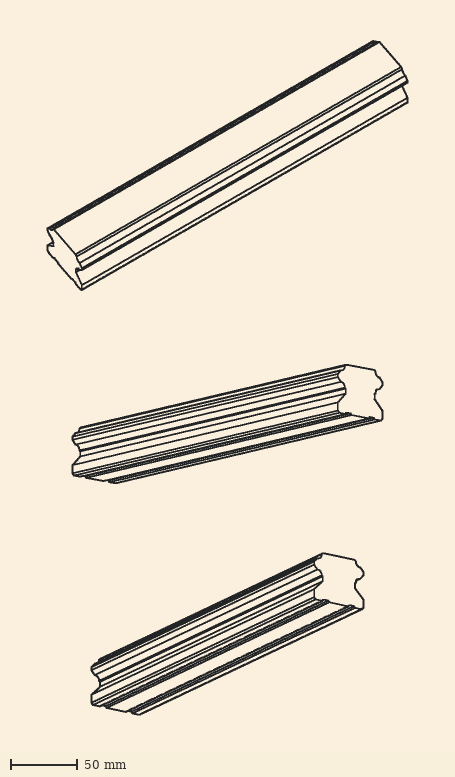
import cadquery as cq
import math

length = 300.0
width = 45.0
height = 38.0

nose_center_z = 28.5
nose_flat = 2.5
nose_root_half_width = 19.5
nose_root_height = 9.0
track_rise = 4.0
track_radius = 3.5
top_chamfer = 1.5

waist_half_width = 14.7
waist_top_z = 19.5
waist_bottom_z = 15.5
foot_side_top_z = 7.8
foot_chamfer = 1.5

groove_center_x = 11.7
groove_mouth_width = 6.0
groove_floor_width = 4.2
groove_depth = 1.2

half_width = width / 2
nose_tip_top_z = nose_center_z + nose_flat / 2
nose_tip_bottom_z = nose_center_z - nose_flat / 2
nose_root_top_z = nose_center_z + nose_root_height / 2
nose_root_bottom_z = nose_center_z - nose_root_height / 2
neck_half_width = nose_root_half_width - track_rise
top_half_width = neck_half_width - top_chamfer
upper_track_end_z = nose_root_top_z + track_rise
lower_track_end_z = nose_root_bottom_z - track_rise

half_chord = track_rise * math.sqrt(0.5)
track_depth = track_radius - math.sqrt(track_radius**2 - half_chord**2)
track_mid_offset = track_rise / 2 + track_depth * math.sqrt(0.5)
track_mid_x = nose_root_half_width - track_mid_offset


def rail_half():
    """Half of the rail at +X, extruded along Y; each track is a round hollow."""
    return (
        cq.Workplane("XZ", origin=(0, length / 2, 0))
        .moveTo(0, 0)
        .lineTo(half_width - foot_chamfer, 0)
        .lineTo(half_width, foot_chamfer)
        .lineTo(half_width, foot_side_top_z)
        .lineTo(waist_half_width, waist_bottom_z)
        .lineTo(waist_half_width, waist_top_z)
        .lineTo(neck_half_width, lower_track_end_z)
        .threePointArc(
            (track_mid_x, lower_track_end_z + track_mid_offset),
            (nose_root_half_width, nose_root_bottom_z),
        )
        .lineTo(half_width, nose_tip_bottom_z)
        .lineTo(half_width, nose_tip_top_z)
        .lineTo(nose_root_half_width, nose_root_top_z)
        .threePointArc(
            (track_mid_x, upper_track_end_z - track_mid_offset),
            (neck_half_width, upper_track_end_z),
        )
        .lineTo(top_half_width, height)
        .lineTo(0, height)
        .close()
        .extrude(length)
    )


def relief_groove():
    """Cutter for the full-length groove under the +X side of the foot, narrowing upward."""
    return (
        cq.Workplane("XZ", origin=(groove_center_x, length / 2, 0))
        .moveTo(-groove_mouth_width / 2, 0)
        .lineTo(groove_mouth_width / 2, 0)
        .lineTo(groove_floor_width / 2, groove_depth)
        .lineTo(-groove_floor_width / 2, groove_depth)
        .close()
        .extrude(length)
    )


half = rail_half().cut(relief_groove())
result = half.union(half.mirror("YZ")).clean()